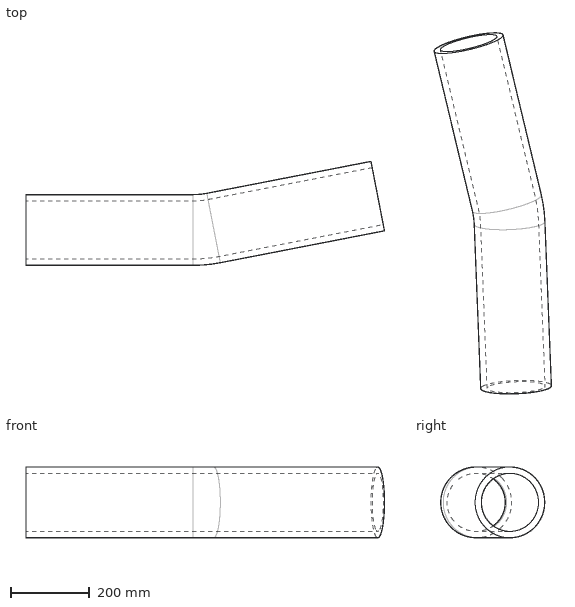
import cadquery as cq
import math

overall_length = 909.0
outer_diameter = 180.0
inner_diameter = 147.0
bend_angle = 11.0
bend_radius = 1.5 * outer_diameter

angle = math.radians(bend_angle)
outside_bend_radius = bend_radius + outer_diameter / 2
bend_reach = outside_bend_radius * math.sin(angle)
leg_length = (overall_length - bend_reach) / (1 + math.cos(angle))


def ring(workplane):
    """Draw the pipe's annular cross-section."""
    return workplane.circle(outer_diameter / 2).circle(inner_diameter / 2)


inlet_leg = ring(cq.Workplane("YZ")).extrude(leg_length)

bend = ring(cq.Workplane("YZ", origin=(leg_length, 0, 0))).revolve(
    bend_angle, (bend_radius, 0, 0), (bend_radius, 1, 0)
)

outlet_start = (
    leg_length + bend_radius * math.sin(angle),
    bend_radius * (1 - math.cos(angle)),
    0,
)
outlet_plane = cq.Plane(
    origin=outlet_start,
    xDir=(-math.sin(angle), math.cos(angle), 0),
    normal=(math.cos(angle), math.sin(angle), 0),
)
outlet_leg = ring(cq.Workplane(outlet_plane)).extrude(leg_length)

result = inlet_leg.union(bend).union(outlet_leg)